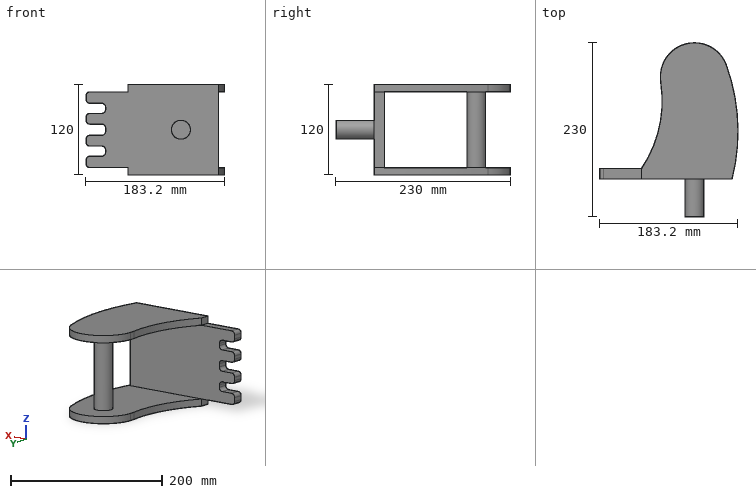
import cadquery as cq
import math

height = 120.0
cheek_thickness = 10.0
back_thickness = 14.0
body_left = -70.0
body_right = 50.0
inner_height = height - 2 * cheek_thickness

bar_diameter = 25.0
peg_length = 50.0

cheek_length = 180.0
nose_radius = 45.0
nose_y = cheek_length - nose_radius
nose_end_angle = math.radians(20)
neck_point = (-44.6, 127.2)
hollow_point = (-50.5, 53.5)
bulge_point = (57.7, 62.0)

tab_length = 55.5
slot_depth = 25.8
middle_slot_width = 14.5
outer_slot_width = 13.0
slot_pitch = 28.3
corner_radius = 5.0

tab_left = body_left - tab_length


def make_cheek(bottom_z):
    """Curved side plate with a round nose, a hollow left edge and a bulged right edge."""
    nose_end = (
        nose_radius * math.cos(nose_end_angle),
        nose_y + nose_radius * math.sin(nose_end_angle),
    )
    return (
        cq.Workplane("XY", origin=(0, 0, bottom_z))
        .moveTo(body_left, 0)
        .lineTo(body_right, 0)
        .threePointArc(bulge_point, nose_end)
        .threePointArc((0, cheek_length), (-nose_radius, nose_y))
        .lineTo(*neck_point)
        .threePointArc(hollow_point, (body_left, back_thickness))
        .close()
        .extrude(cheek_thickness)
    )


def make_back_plate():
    """Back plate between the cheeks, extended to the left as a tab with rounded fingers."""
    plate = cq.Workplane("XY").box(
        body_right - tab_left, back_thickness, inner_height, centered=(False, False, True)
    ).translate((tab_left, 0, 0))
    slots = (
        (-slot_pitch, outer_slot_width),
        (0, middle_slot_width),
        (slot_pitch, outer_slot_width),
    )
    for slot_z, slot_width in slots:
        slot = cq.Workplane("XY").box(
            slot_depth, back_thickness, slot_width, centered=(False, False, True)
        ).translate((tab_left, 0, slot_z))
        plate = plate.cut(slot)
    finger_and_slot_corners = plate.edges("|Y").edges("not >X")
    return finger_and_slot_corners.fillet(corner_radius)


top_cheek = make_cheek(inner_height / 2)
bottom_cheek = make_cheek(-height / 2)

peg = cq.Workplane("XZ").circle(bar_diameter / 2).extrude(peg_length)

crossbar = (
    cq.Workplane("XY", origin=(0, nose_y, -inner_height / 2))
    .circle(bar_diameter / 2)
    .extrude(inner_height)
)

result = make_back_plate().union(top_cheek).union(bottom_cheek).union(peg).union(crossbar)